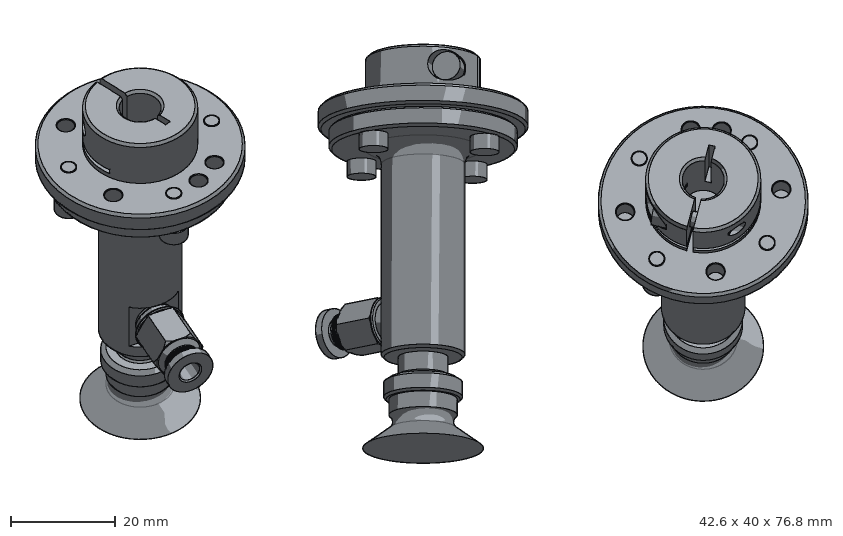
import cadquery as cq
import math

TOTAL_HEIGHT = 76.8

PLATE_RADIUS = 20.01
PLATE_BOTTOM = 62.75
PLATE_TOP = 66.8
HUB_RADIUS = 11.0
BORE_RADIUS = 4.0
EDGE_CHAMFER = 0.5
CLAMP_SLOT_WIDTH = 1.2
CLAMP_SLOT_END = 7.15
RELIEF_SLIT_BOTTOM = 67.8
RELIEF_SLIT_HEIGHT = 1.0
RELIEF_SLIT_END = 1.9

BOLT_CIRCLE_RADIUS = 15.05
BOLT_COUNT = 4
BOLT_ANGLE = 67.5
FREE_HOLE_ANGLE = BOLT_ANGLE - 180 / BOLT_COUNT
LOCATING_HOLE_ANGLE = 0.0
FREE_HOLE_RADIUS = 1.7
FREE_HOLE_CHAMFER = 0.15
SHANK_RADIUS = 1.5
SHANK_CHAMFER = 0.15
HEAD_RADIUS = 2.8
HEAD_HEIGHT = 3.0

CLAMP_SCREW_X = -6.9
CLAMP_SCREW_Z = 72.8
CLAMP_SEAT_Y = 4.9
CLAMP_SHANK_LENGTH = 12.0
CLAMP_COUNTERBORE_RADIUS = 3.0

FLANGE_RADIUS = 18.0
FLANGE_BOTTOM = 58.8
FLANGE_TOP_CHAMFER = 0.4
BARREL_RADIUS = 8.0
BARREL_BOTTOM = 17.9
BARREL_FILLET = 3.0
ROD_RADIUS = 4.8
ROD_BOTTOM = 14.05
ROD_CHAMFER = 0.3

FITTING_ANGLE = -22.5
FITTING_Z = 26.0
FLAT_DISTANCE = 6.1
FLAT_HEIGHT = 10.2
STEM_RADIUS = 3.85
STEM_RING_START = 6.75
STEM_RING_RADIUS = 4.1
WASHER_START = 8.45
WASHER_RADIUS = 5.1
WASHER_CHAMFER = 0.2
HEX_START = 9.1
HEX_END = 17.5
HEX_ACROSS_FLATS = 9.1
HEX_CHAMFER = 0.5
SHOULDER_RADIUS = 4.4
SLEEVE_START = 18.4
SLEEVE_RADIUS = 3.45
SLEEVE_END = 19.8
SLEEVE_GROOVE_COUNT = 2
SLEEVE_GROOVE_WIDTH = 0.3
SLEEVE_GROOVE_DEPTH = 0.2
NECK_RADIUS = 2.7
COLLAR_START = 21.0
COLLAR_RADIUS = 4.8
FITTING_END = 22.5
HOSE_BORE_RADIUS = 2.1
HOSE_BORE_DEPTH = 6.15
HOSE_BORE_CHAMFER = 0.3

CUP_LIP_RADIUS = 11.5
CUP_CONE_TOP_RADIUS = 6.5
CUP_CONE_TOP = 3.8
CUP_WAIST_RADIUS = 5.8
CUP_WAIST_Z = 5.2
CUP_NECK_RADIUS = 6.5
CUP_NECK_BOTTOM = 6.5
CUP_RING_BOTTOM = 9.6
CUP_RING_RADIUS = 7.5
CUP_RING_TOP = 13.6
CUP_RING_TOP_CHAMFER_WIDTH = 1.0
CUP_RING_TOP_CHAMFER_HEIGHT = 0.7
CUP_RING_BOTTOM_CHAMFER = 0.45
CUP_SPIGOT_RADIUS = 4.45


def disc(radius, bottom, top):
    """Vertical cylinder on the main axis."""
    return cq.Workplane("XY", origin=(0, 0, bottom)).circle(radius).extrude(top - bottom)


def at_bolt_position(body, angle):
    """Move a body from the main axis out to the bolt circle, at an angle from +X."""
    return body.translate((BOLT_CIRCLE_RADIUS, 0, 0)).rotate((0, 0, 0), (0, 0, 1), angle)


def evenly_spaced_angles(first_angle):
    """Angles of one set of equally spaced positions on the bolt circle."""
    return [first_angle + number * 360 / BOLT_COUNT for number in range(BOLT_COUNT)]


def cut_bolt_holes(body):
    """Cut the screw holes shared by the coupling plate and the holder flange."""
    hole = disc(SHANK_RADIUS, FLANGE_BOTTOM, PLATE_TOP)
    for angle in evenly_spaced_angles(BOLT_ANGLE):
        body = body.cut(at_bolt_position(hole, angle))
    return body


def cap_screw(shank_length):
    """Cap screw with its shank along +Z and the seat of its head at Z = 0."""
    head = disc(HEAD_RADIUS, -HEAD_HEIGHT, 0)
    shank = disc(SHANK_RADIUS, 0, shank_length).faces(">Z").chamfer(SHANK_CHAMFER)
    return head.union(shank)


def hub_cut(end_x, width, bottom, height):
    """Rectangular cut into the hub from its -X side, as far as end_x."""
    block = cq.Workplane("XY").box(end_x + HUB_RADIUS, width, height, centered=(False, True, False))
    return block.translate((-HUB_RADIUS, 0, bottom))


def chamfered_hole():
    """Cutter for a hole through the plate on the main axis, wider at its mouth."""
    mouth_radius = FREE_HOLE_RADIUS + FREE_HOLE_CHAMFER
    mouth_bottom = PLATE_TOP - FREE_HOLE_CHAMFER
    mouth = cq.Workplane("XY", origin=(0, 0, mouth_bottom)).circle(FREE_HOLE_RADIUS)
    mouth = mouth.workplane(offset=FREE_HOLE_CHAMFER).circle(mouth_radius).loft()
    return disc(FREE_HOLE_RADIUS, PLATE_BOTTOM, mouth_bottom).union(mouth)


def make_coupling():
    plate = disc(PLATE_RADIUS, PLATE_BOTTOM, PLATE_TOP).edges().chamfer(EDGE_CHAMFER)
    hub = disc(HUB_RADIUS, PLATE_TOP, TOTAL_HEIGHT).faces(">Z").chamfer(EDGE_CHAMFER)
    body = plate.union(hub)

    body = body.cut(disc(BORE_RADIUS, PLATE_BOTTOM, TOTAL_HEIGHT))
    body = body.faces(">Z").edges(cq.selectors.RadiusNthSelector(0)).chamfer(EDGE_CHAMFER)

    body = body.cut(hub_cut(CLAMP_SLOT_END, CLAMP_SLOT_WIDTH, PLATE_TOP, TOTAL_HEIGHT - PLATE_TOP))
    body = body.cut(hub_cut(RELIEF_SLIT_END, 2 * HUB_RADIUS, RELIEF_SLIT_BOTTOM, RELIEF_SLIT_HEIGHT))

    screw_axis = cq.Workplane("XZ", origin=(CLAMP_SCREW_X, CLAMP_SEAT_Y, CLAMP_SCREW_Z))
    body = body.cut(screw_axis.circle(SHANK_RADIUS).extrude(CLAMP_SEAT_Y + HUB_RADIUS))
    body = body.cut(screw_axis.circle(CLAMP_COUNTERBORE_RADIUS).extrude(CLAMP_SEAT_Y - HUB_RADIUS))

    body = cut_bolt_holes(body)
    for angle in [LOCATING_HOLE_ANGLE, *evenly_spaced_angles(FREE_HOLE_ANGLE)]:
        body = body.cut(at_bolt_position(chamfered_hole(), angle))
    return body


def make_holder():
    flange = disc(FLANGE_RADIUS, FLANGE_BOTTOM, PLATE_BOTTOM)
    flange = flange.faces("<Z").chamfer(EDGE_CHAMFER).faces(">Z").chamfer(FLANGE_TOP_CHAMFER)
    barrel = disc(BARREL_RADIUS, BARREL_BOTTOM, FLANGE_BOTTOM).faces("<Z").chamfer(EDGE_CHAMFER)
    rod = disc(ROD_RADIUS, ROD_BOTTOM, BARREL_BOTTOM).faces("<Z").chamfer(ROD_CHAMFER)
    fillet_ring = (
        cq.Workplane("XZ")
        .moveTo(BARREL_RADIUS, FLANGE_BOTTOM)
        .lineTo(BARREL_RADIUS + BARREL_FILLET, FLANGE_BOTTOM)
        .radiusArc((BARREL_RADIUS, FLANGE_BOTTOM - BARREL_FILLET), -BARREL_FILLET)
        .close()
        .revolve()
    )
    body = flange.union(barrel).union(fillet_ring).union(rod)

    flat_cut = (
        cq.Workplane("XY")
        .box(BARREL_RADIUS, 2 * BARREL_RADIUS, FLAT_HEIGHT, centered=(False, True, True))
        .translate((FLAT_DISTANCE, 0, FITTING_Z))
    )
    body = body.cut(flat_cut).rotate((0, 0, 0), (0, 0, 1), FITTING_ANGLE)
    return cut_bolt_holes(body)


def make_flange_screws():
    screw = cap_screw(PLATE_TOP - FLANGE_BOTTOM).translate((0, 0, FLANGE_BOTTOM))
    return [at_bolt_position(screw, angle).val() for angle in evenly_spaced_angles(BOLT_ANGLE)]


def make_clamp_screw():
    screw = cap_screw(CLAMP_SHANK_LENGTH).rotate((0, 0, 0), (1, 0, 0), 90)
    return screw.translate((CLAMP_SCREW_X, CLAMP_SEAT_Y, CLAMP_SCREW_Z))


def make_fitting_hexagon():
    """Hexagon of the fitting along +Z, with its outer corners chamfered."""
    hexagon = (
        cq.Workplane("XY", origin=(0, 0, HEX_START))
        .polygon(6, HEX_ACROSS_FLATS, circumscribed=True)
        .extrude(HEX_END - HEX_START)
    )
    corner_radius = HEX_ACROSS_FLATS / math.sqrt(3)
    return hexagon.intersect(disc(corner_radius, HEX_START, HEX_END).faces(">Z").chamfer(HEX_CHAMFER))


def make_fitting_sleeve():
    """Conical shoulder behind the hexagon and the grooved sleeve after it."""
    shoulder = (
        cq.Workplane("XY", origin=(0, 0, HEX_END))
        .circle(SHOULDER_RADIUS)
        .workplane(offset=SLEEVE_START - HEX_END)
        .circle(SLEEVE_RADIUS)
        .loft()
    )
    body = shoulder.union(disc(SLEEVE_RADIUS, SLEEVE_START, SLEEVE_END))
    pitch = (SLEEVE_END - SLEEVE_START) / (SLEEVE_GROOVE_COUNT + 1)
    for number in range(1, SLEEVE_GROOVE_COUNT + 1):
        bottom = SLEEVE_START + number * pitch - SLEEVE_GROOVE_WIDTH / 2
        top = bottom + SLEEVE_GROOVE_WIDTH
        groove = disc(SLEEVE_RADIUS, bottom, top).cut(disc(SLEEVE_RADIUS - SLEEVE_GROOVE_DEPTH, bottom, top))
        body = body.cut(groove)
    return body


def make_fitting():
    """Hose fitting, built along +Z and then laid over to point out of the barrel."""
    body = disc(STEM_RADIUS, FLAT_DISTANCE, STEM_RING_START)
    body = body.union(disc(STEM_RING_RADIUS, STEM_RING_START, WASHER_START))
    body = body.union(disc(WASHER_RADIUS, WASHER_START, HEX_START).edges().chamfer(WASHER_CHAMFER))
    body = body.union(make_fitting_hexagon())
    body = body.union(make_fitting_sleeve())
    body = body.union(disc(NECK_RADIUS, SLEEVE_END, COLLAR_START))
    body = body.union(disc(COLLAR_RADIUS, COLLAR_START, FITTING_END))
    body = body.faces(">Z").workplane().hole(2 * HOSE_BORE_RADIUS, HOSE_BORE_DEPTH)
    body = body.faces(">Z").edges(cq.selectors.RadiusNthSelector(0)).chamfer(HOSE_BORE_CHAMFER)
    return (
        body.rotate((0, 0, 0), (0, 1, 0), 90)
        .rotate((0, 0, 0), (0, 0, 1), FITTING_ANGLE)
        .translate((0, 0, FITTING_Z))
    )


def make_suction_cup():
    return (
        cq.Workplane("XZ")
        .lineTo(CUP_LIP_RADIUS, 0)
        .lineTo(CUP_CONE_TOP_RADIUS, CUP_CONE_TOP)
        .threePointArc((CUP_WAIST_RADIUS, CUP_WAIST_Z), (CUP_NECK_RADIUS, CUP_NECK_BOTTOM))
        .lineTo(CUP_NECK_RADIUS, CUP_RING_BOTTOM)
        .lineTo(CUP_RING_RADIUS - CUP_RING_BOTTOM_CHAMFER, CUP_RING_BOTTOM)
        .lineTo(CUP_RING_RADIUS, CUP_RING_BOTTOM + CUP_RING_BOTTOM_CHAMFER)
        .lineTo(CUP_RING_RADIUS, CUP_RING_TOP - CUP_RING_TOP_CHAMFER_HEIGHT)
        .lineTo(CUP_RING_RADIUS - CUP_RING_TOP_CHAMFER_WIDTH, CUP_RING_TOP)
        .lineTo(ROD_RADIUS, CUP_RING_TOP)
        .lineTo(CUP_SPIGOT_RADIUS, ROD_BOTTOM)
        .lineTo(0, ROD_BOTTOM)
        .close()
        .revolve()
    )


coupling = make_coupling()
holder = make_holder()
flange_screws = make_flange_screws()
clamp_screw = make_clamp_screw()
fitting = make_fitting()
suction_cup = make_suction_cup()

result = cq.Compound.makeCompound(
    [coupling.val(), holder.val(), *flange_screws, clamp_screw.val(), fitting.val(), suction_cup.val()]
)